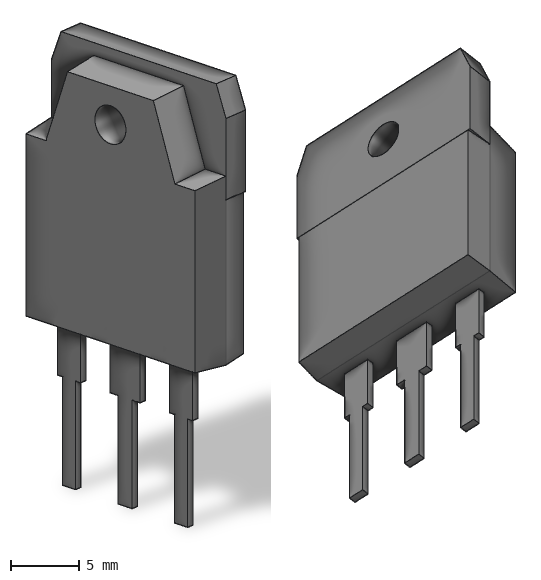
import cadquery as cq

total_height = 35.0
package_width = 17.0
half_width = package_width / 2
front_depth = 3.1
back_depth = 2.17
draft_angle = 5.0

tab_bottom = 26.08
tab_corner_width = 0.95
tab_corner_height = 2.5
hole_diameter = 3.0
hole_height = 30.65

housing_bottom = 13.02
shoulder_height = 27.95
crown_height = 34.0
crown_half_width = 4.38
crown_foot_half_width = 6.48
crown_overlap = 2.1

lead_pitch = 5.45
lead_thickness = 0.6
lead_front_y = -1.5
lead_step_height = 8.58
lead_embedment = 1.75
lead_top = housing_bottom + lead_embedment
outer_wide_width = 2.28
outer_narrow_width = 1.3
middle_wide_width = 2.95
middle_narrow_width = 1.4


def sketch_plane(y):
    """XZ plane at the given Y; its normal points toward -Y."""
    return cq.Workplane("XZ", origin=(0, y, 0))


def mirrored_outline(y, right_side):
    """Closed outline from its right-hand points, listed bottom to top."""
    left_side = [(-x, z) for x, z in reversed(right_side)]
    return sketch_plane(y).polyline(right_side + left_side).close()


def make_hole():
    """Mounting hole cutter through the tab and the housing."""
    hole_depth = back_depth + front_depth
    return sketch_plane(back_depth).center(0, hole_height).circle(hole_diameter / 2).extrude(hole_depth)


def make_tab():
    """Flat heatsink tab with its two top corners cut off."""
    outline = [
        (half_width, tab_bottom),
        (half_width, total_height - tab_corner_height),
        (half_width - tab_corner_width, total_height),
    ]
    return mirrored_outline(back_depth, outline).extrude(back_depth).cut(make_hole())


def make_housing(leads):
    """Moulded housing, drafted to both sides, with sockets for the leads."""
    main_outline = [(half_width, housing_bottom), (half_width, shoulder_height)]
    main_block = mirrored_outline(0, main_outline).extrude(front_depth, taper=draft_angle)

    flank_slope = (crown_foot_half_width - crown_half_width) / (crown_height - shoulder_height)
    crown_base = shoulder_height - crown_overlap
    crown_outline = [
        (crown_foot_half_width + crown_overlap * flank_slope, crown_base),
        (crown_half_width, crown_height),
    ]
    crown = mirrored_outline(0, crown_outline).extrude(front_depth, taper=draft_angle)
    front = main_block.union(crown)

    back = mirrored_outline(0, main_outline).extrude(-back_depth, taper=draft_angle)
    tab_space = cq.Workplane("XY").box(
        package_width, back_depth, total_height - tab_bottom, centered=(True, False, False)
    )
    back = back.cut(tab_space.translate((0, 0, tab_bottom)))

    housing = front.union(back).cut(make_hole())
    for lead in leads:
        housing = housing.cut(lead)
    return housing


def make_lead(x, wide_width, narrow_width):
    """Flat stepped lead, narrow at its tip and wide where it enters the housing."""
    outline = [
        (narrow_width / 2, 0),
        (narrow_width / 2, lead_step_height),
        (wide_width / 2, lead_step_height),
        (wide_width / 2, lead_top),
    ]
    lead = mirrored_outline(lead_front_y + lead_thickness, outline).extrude(lead_thickness)
    return lead.translate((x, 0, 0))


leads = [make_lead(0, middle_wide_width, middle_narrow_width)]
for side in (-1, 1):
    leads.append(make_lead(side * lead_pitch, outer_wide_width, outer_narrow_width))

tab = make_tab()
housing = make_housing(leads)

bodies = [tab, housing, *leads]
result = cq.Compound.makeCompound([body.solids().val() for body in bodies])